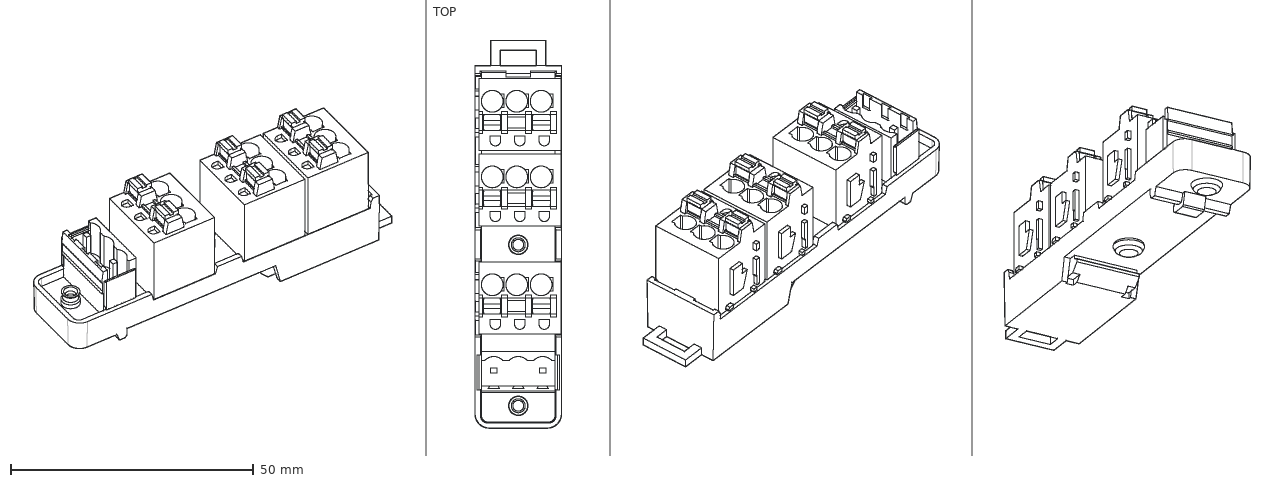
import cadquery as cq
import math


rim_half_width = 9.0
rim_z = 11.55
ledge_z = 9.8
end_wall_z = 12.3
body_bottom_z = 5.0
nose_bottom_z = 4.5
base_end_y = 74.9
base_draft = 1.0
overshoot = 0.8
corner_radius = 3.0
floor_z = 9.5
cavity_half_width = 7.85
cavity_front_y = 1.05
cavity_end_y = 73.8
cavity_corner_radius = 1.45
cavity_draft = 6.0

foot_front_y = 50.65
foot_top_front_y = 49.45
foot_recess_y = 51.3
foot_hook_root_y = 47.7
foot_hook_nose_y = 46.7
foot_side_wall = 1.5
foot_hook_half_width = 7.4
foot_hook_tip_half_width = 5.7
foot_hook_step_z = 1.3
front_hook_half_width = 2.5
tab_height = 1.85
tab_half_width = 5.7
tab_window_half_width = 3.7
tab_end_y = 80.1
tab_bar = 2.1
tab_overlap = 0.8
end_wedge_half_width = 2.6

pole_pitch = 5.05
pole_positions = (-pole_pitch, 0, pole_pitch)
block_rear_positions = (72.3, 56.65, 34.4)
block_length = 14.9
block_left_x = -8.1
block_right_x = 8.8
block_top_z = 25.1
well_radius = 2.25
well_depth = 6.4
side_slot_x = (1.6, 2.4)
side_slot_y = (-6.0, -3.2)
side_slot_depth = 5.6
well_row = 4.7
well_row_x = -0.3
wire_slot_width = 2.2
wire_slot_depth = 1.0
wire_slot_rear = 11.9
wire_slot_length = 2.1
wire_row_x = 0.3
fin_top_z = 28.0
fin_base = (6.9, 11.4)
fin_top = (7.45, 10.8)
fin_edges = ((block_left_x, -7.4), (-3.45, -2.25), (1.5, 2.7), (6.65, 7.9))
lever_edges = ((-7.1, -3.7), (3.0, 6.65))
lever_top_z = 29.0
lever_waist = 0.25
lever_groove = (8.65, 9.6)
lever_groove_depth = 0.5
sill_height = 0.5
sill_width = 0.6
relief_height = 0.9

header_rear_y = 15.9
header_front_y = 7.85
header_ridge_y = 7.4
header_recess_y = 7.6
header_half_width = 7.6
header_wall_z = 21.9
header_side_z = 19.7
header_pocket_floor_z = 13.6
header_pocket = (8.7, 14.0)
scallop_depth = 0.8
pin_y = 11.95
pin_width = 1.3
pin_thickness = 1.1
pin_top_z = 20.9
side_plate_y = (7.9, 15.15)
side_plate_bottom_z = 12.0
side_plate_outer_x = 8.5
side_plate_thickness = 0.4
side_pad_drop = 0.5
key_slot_depth = 3.2
key_slot_y = 8.2
key_slot_wide = 2.3
key_slot_narrow = 1.8

screw_positions = (4.65, 37.9)


def box(x_range, y_range, z_range):
    """Axis-aligned box between three pairs of limits."""
    sizes = [high - low for low, high in (x_range, y_range, z_range)]
    corner = (x_range[0], y_range[0], z_range[0])
    return cq.Workplane("XY").box(*sizes, centered=False).translate(corner)


def side_profile(points, x_low, x_high):
    """Prism with a (Y, Z) outline, running from x_low to x_high."""
    return cq.Workplane("YZ").polyline(points).close().extrude(x_high - x_low).translate((x_low, 0, 0))


def round_nosed_prism(half_width, front_y, end_y, radius, top_z, depth, draft):
    """Strip with two rounded front corners, extruded down from top_z while narrowing."""
    outline = (
        cq.Workplane("XY", origin=(0, 0, top_z))
        .moveTo(-half_width, end_y)
        .lineTo(-half_width, front_y + radius)
        .radiusArc((-half_width + radius, front_y), -radius)
        .lineTo(half_width - radius, front_y)
        .radiusArc((half_width, front_y + radius), -radius)
        .lineTo(half_width, end_y)
        .close()
    )
    return outline.extrude(-depth, taper=draft)


def make_base():
    profile = [
        (-overshoot, rim_z),
        (18.8, rim_z),
        (19.3, ledge_z),
        (34.55, ledge_z),
        (35.0, rim_z),
        (40.95, rim_z),
        (41.4, ledge_z),
        (72.7, ledge_z),
        (72.85, 11.4),
        (73.3, end_wall_z),
        (base_end_y, end_wall_z),
        (base_end_y, 0),
        (foot_front_y, 0),
        (foot_top_front_y, body_bottom_z),
        (12.8, body_bottom_z),
        (12.8, 3.1),
        (12.35, 2.65),
        (11.0, 2.65),
        (10.3, nose_bottom_z),
        (-overshoot, nose_bottom_z),
    ]
    plan_front_y = -(end_wall_z - rim_z) * math.tan(math.radians(base_draft))
    plan = round_nosed_prism(
        rim_half_width,
        plan_front_y,
        base_end_y + overshoot,
        corner_radius,
        end_wall_z,
        end_wall_z,
        base_draft,
    )
    base = side_profile(profile, -rim_half_width, rim_half_width).intersect(plan)
    cavity = round_nosed_prism(
        cavity_half_width,
        cavity_front_y,
        cavity_end_y,
        cavity_corner_radius,
        end_wall_z,
        end_wall_z - floor_z,
        cavity_draft,
    )
    wedge = side_profile(
        [(cavity_end_y, floor_z), (72.5, floor_z), (73.3, end_wall_z), (cavity_end_y, end_wall_z)],
        -end_wedge_half_width,
        end_wedge_half_width,
    )
    return base.cut(cavity).union(wedge)


def add_foot_hook(base):
    recess_half_width = rim_half_width - foot_side_wall
    recess = box(
        (-recess_half_width, recess_half_width),
        (foot_hook_root_y, foot_recess_y),
        (0, body_bottom_z),
    )
    hook_profile = [
        (foot_recess_y, 0),
        (49.8, 0),
        (foot_hook_nose_y, 3.05),
        (foot_hook_nose_y, 3.8),
        (foot_hook_root_y, 4.2),
        (foot_hook_root_y, body_bottom_z),
        (foot_recess_y, body_bottom_z),
    ]
    hook = side_profile(hook_profile, -foot_hook_half_width, foot_hook_half_width)
    for side in (-1, 1):
        inner, outer = side * foot_hook_tip_half_width, side * rim_half_width
        corner = box(
            (min(inner, outer), max(inner, outer)), (foot_hook_nose_y, foot_recess_y), (0, foot_hook_step_z)
        )
        hook = hook.cut(corner)
    return base.cut(recess).union(hook)


def make_front_hook():
    profile = [
        (12.8, body_bottom_z),
        (12.8, 3.8),
        (13.7, 3.8),
        (14.3, 3.2),
        (14.3, 1.85),
        (13.8, 1.45),
        (10.5, 1.45),
        (10.2, 1.8),
        (9.4, body_bottom_z),
    ]
    return side_profile(profile, -front_hook_half_width, front_hook_half_width)


def make_tab():
    tab = box((-tab_half_width, tab_half_width), (base_end_y - tab_overlap, tab_end_y), (0, tab_height))
    window = box(
        (-tab_window_half_width, tab_window_half_width),
        (base_end_y, tab_end_y - tab_bar),
        (0, tab_height),
    )
    return tab.cut(window)


def make_block():
    """One terminal block; depths along its length are measured as -Y from its rear face at Y = 0."""
    block = box((block_left_x, block_right_x), (-block_length, 0), (floor_z, block_top_z))

    for pole_x in pole_positions:
        well_x = pole_x + well_row_x
        well_floor_z = block_top_z - well_depth
        well = (
            cq.Workplane("XY", origin=(well_x, -well_row, well_floor_z))
            .circle(well_radius)
            .extrude(well_depth)
        )
        side_slot = box(side_slot_x, side_slot_y, (block_top_z - side_slot_depth, block_top_z))
        half = wire_slot_width / 2
        shoulder = -wire_slot_rear - wire_slot_length + half
        wire_slot = (
            cq.Workplane("XY", origin=(pole_x + wire_row_x, 0, block_top_z - wire_slot_depth))
            .moveTo(-half, -wire_slot_rear)
            .lineTo(-half, shoulder)
            .threePointArc((0, shoulder - half), (half, shoulder))
            .lineTo(half, -wire_slot_rear)
            .close()
            .extrude(wire_slot_depth)
        )
        block = block.cut(well).cut(side_slot.translate((well_x, 0, 0))).cut(wire_slot)

    fin_profile = [
        (-fin_base[0], block_top_z),
        (-fin_top[0], fin_top_z),
        (-fin_top[1], fin_top_z),
        (-fin_base[1], block_top_z),
    ]
    for left, right in fin_edges:
        block = block.union(side_profile(fin_profile, left, right))

    for rear in (fin_top[0], fin_top[1] - sill_width):
        sill = box(
            (fin_edges[0][0], fin_edges[-1][1]),
            (-rear - sill_width, -rear),
            (block_top_z, block_top_z + sill_height),
        )
        block = block.union(sill)

    stem_rear, stem_front = fin_top[0] + lever_waist, fin_top[1] - lever_waist
    lever_profile = [
        (-stem_rear, block_top_z),
        (-stem_rear, fin_top_z),
        (-fin_top[0], fin_top_z),
        (-fin_top[0], lever_top_z),
        (-lever_groove[0], lever_top_z),
        (-lever_groove[0], lever_top_z - lever_groove_depth),
        (-lever_groove[1], lever_top_z - lever_groove_depth),
        (-lever_groove[1], lever_top_z),
        (-fin_top[1], lever_top_z),
        (-fin_top[1], fin_top_z),
        (-stem_front, fin_top_z),
        (-stem_front, block_top_z),
    ]
    for left, right in lever_edges:
        block = block.union(side_profile(lever_profile, left, right))

    relief_outlines = [
        [(-3.7, 20.2), (-6.6, 20.2), (-6.6, 17.55), (-8.2, 17.55), (-6.9, 13.5), (-3.7, 13.5)],
        [(-11.1, 22.4), (-12.1, 22.4), (-12.1, 20.7), (-11.1, 20.7)],
        [(-11.1, 18.35), (-12.1, 18.35), (-12.1, 11.55), (-11.4, 11.55), (-11.4, 13.95), (-11.1, 13.95)],
        [(-2.6, 11.05), (-3.8, 11.05), (-3.8, 10.25), (-2.2, 10.25), (-2.2, 10.6)],
        [(-10.3, 11.05), (-11.3, 11.05), (-11.3, 10.25), (-10.3, 10.25)],
    ]
    for outline in relief_outlines:
        block = block.union(side_profile(outline, block_left_x - relief_height, block_left_x))
    return block


def make_header():
    profile = [
        (header_rear_y, floor_z),
        (header_rear_y, header_wall_z),
        (7.7, header_wall_z),
        (header_ridge_y, 19.0),
        (header_recess_y, 18.75),
        (header_recess_y, 16.6),
        (header_ridge_y, 16.0),
        (header_front_y, 15.8),
        (header_front_y, floor_z),
    ]
    header = side_profile(profile, -header_half_width, header_half_width)
    pocket_height = header_wall_z - header_pocket_floor_z

    pocket = box(
        (-header_half_width, header_half_width),
        header_pocket,
        (header_pocket_floor_z, header_wall_z),
    )
    header = header.cut(pocket)

    scallop_radius = pole_pitch / 2
    scallop_y = header_pocket[1] + scallop_depth - scallop_radius
    for pole_x in pole_positions:
        scallop = (
            cq.Workplane("XY", origin=(pole_x, scallop_y, header_pocket_floor_z))
            .circle(scallop_radius)
            .extrude(pocket_height)
        )
        key_slot = (
            cq.Workplane("XY", origin=(pole_x, 0, header_wall_z - key_slot_depth))
            .moveTo(-key_slot_narrow / 2, header_pocket[0])
            .lineTo(-key_slot_wide / 2, key_slot_y)
            .lineTo(key_slot_wide / 2, key_slot_y)
            .lineTo(key_slot_narrow / 2, header_pocket[0])
            .close()
            .extrude(key_slot_depth)
        )
        header = header.cut(scallop).cut(key_slot)

    for pin_x in (pole_positions[0], pole_positions[-1]):
        pin = box(
            (pin_x - pin_width / 2, pin_x + pin_width / 2),
            (pin_y - pin_thickness / 2, pin_y + pin_thickness / 2),
            (header_pocket_floor_z, pin_top_z),
        )
        header = header.union(pin)

    pad_outer_x = side_plate_outer_x - side_plate_thickness
    for side in (-1, 1):
        plate_x = sorted((side * pad_outer_x, side * side_plate_outer_x))
        pad_x = sorted((side * header_half_width, side * pad_outer_x))
        plate = box(plate_x, side_plate_y, (side_plate_bottom_z, header_side_z))
        pad = box(
            pad_x, side_plate_y, (side_plate_bottom_z + side_pad_drop, header_side_z - side_pad_drop)
        )
        header = header.union(pad).union(plate)
    return header


def make_screw(screw_y):
    """Domed head below the base and a hollow collar above its floor."""
    half_section = [
        (0, 3.0),
        (1.9, 3.0),
        (2.8, 3.5),
        (3.3, 4.5),
        (3.1, body_bottom_z),
        (2.0, body_bottom_z),
        (2.0, 10.6),
        (1.7, 11.0),
        (1.7, 12.1),
        (1.9, 12.5),
        (1.45, 12.5),
        (1.1, 11.7),
        (1.1, 10.9),
        (0, 10.9),
    ]
    screw = cq.Workplane("XZ").polyline(half_section).close().revolve(360, (0, 0, 0), (0, 1, 0))
    return screw.translate((0, screw_y, 0))


result = add_foot_hook(make_base()).union(make_front_hook()).union(make_tab())
block = make_block()
for rear_y in block_rear_positions:
    result = result.union(block.translate((0, rear_y, 0)))
result = result.union(make_header())
for screw_y in screw_positions:
    result = result.union(make_screw(screw_y))